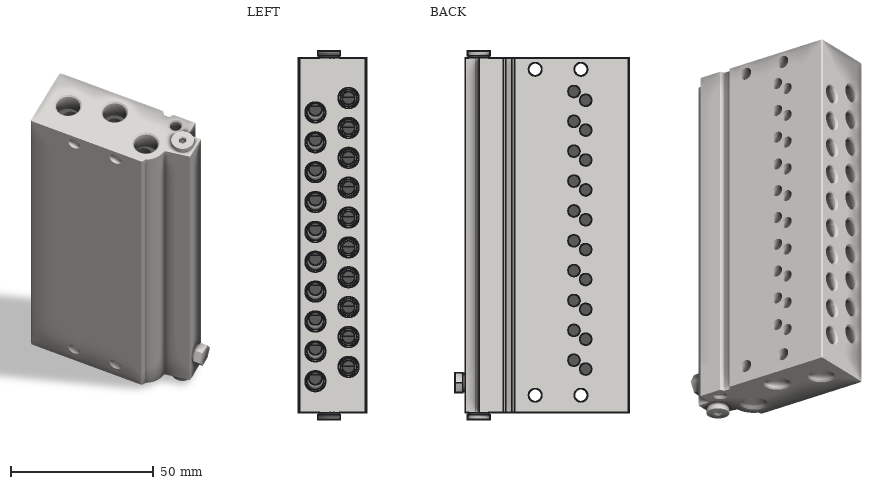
import cadquery as cq
import math

total_height = 129.5
plug_height = 2.5
block_height = total_height - 2 * plug_height
block_depth = 24.0
corner_chamfer = 0.4

front_width = 43.0
rear_width = 52.7
nose_width = 57.6
nose_front = 9.3
nose_rear = 18.1
nose_front_fillet = 0.4
nose_rear_fillet = 1.3
nose_root_fillet = 0.6
nose_root_y = 7.8
flank_radius = 7.4
flank_start_y = 1.4
lip_sagitta = 0.2
notch_left = 40.1
notch_right = 44.2
notch_depth = 1.5
notch_slope_left = 1.2
notch_slope_right = 0.8

port_diameter = 8.5
port_mouth_diameter = 9.6
port_depth = 7.1
gallery_diameter = 6.0
galleries = [
    ((9.0, 11.9), (9.8, 12.3)),
    ((25.0, 16.2), (25.0, 16.0)),
    ((40.9, 8.2), (39.9, 8.3)),
]
pilot_centre = (46.9, 20.0)
pilot_diameter = 4.0
pilot_mouth_diameter = 5.0

mount_diameter = 4.5
mount_x = [17.0, 33.0]
mount_inset_top = 4.0
mount_inset_bottom = 6.1

outlet_count = 10
outlet_pitch = 10.5
outlet_diameter = 6.0
outlet_mouth_diameter = 7.3
outlet_depth = 6.5
passage_diameter = 4.5
cross_diameter = 4.1
outlet_4_y = 6.3
outlet_4_top_inset = 14.1
outlet_2_y = 18.0
outlet_2_top_inset = 19.2
passage_2_rise = 1.0
cross_4_rise = 2.3
cross_2_rise = 4.3
cross_4_x = 19.4
cross_2_x = 15.3

plug_centre = (52.8, 13.2)
plug_diameter = 8.0
plug_neck_diameter = 7.3
plug_neck_height = 0.8
socket_across_flats = 2.5
socket_mouth_diameter = 3.2
socket_depth = 1.5

screw_y = 13.9
screw_z = 10.5
screw_end_x = 61.3
screw_head_length = 2.7
screw_across_flats = 7.0
screw_collar_diameter = 6.5


def across_corners(across_flats):
    return across_flats / math.cos(math.pi / 6)


def flank_point(y):
    """Point at depth y on the front right quarter of the rounded flank."""
    centre_x, centre_y = galleries[2][0]
    return (centre_x + math.sqrt(flank_radius**2 - (y - centre_y) ** 2), y)


def upright_edge(body, corner):
    """The edge of the block that runs along Z through a corner of its profile."""
    middle = (*corner, block_height / 2)
    return body.edges("|Z").edges(cq.selectors.NearestToPointSelector(middle))


def make_block_body():
    flank_start = flank_point(flank_start_y)
    flank_middle = flank_point((flank_start_y + nose_root_y) / 2)
    nose_root = flank_point(nose_root_y)
    profile = (
        cq.Workplane("XY")
        .moveTo(0, 0)
        .lineTo(front_width, 0)
        .sagittaArc(flank_start, -lip_sagitta)
        .threePointArc(flank_middle, nose_root)
        .lineTo(nose_width, nose_front)
        .lineTo(nose_width, nose_rear)
        .lineTo(rear_width, nose_rear)
        .lineTo(rear_width, block_depth)
        .lineTo(notch_right, block_depth)
        .lineTo(notch_right - notch_slope_right, block_depth - notch_depth)
        .lineTo(notch_left + notch_slope_left, block_depth - notch_depth)
        .lineTo(notch_left, block_depth)
        .lineTo(0, block_depth)
        .close()
    )
    body = profile.extrude(block_height)
    body = body.edges("|Z and <X").chamfer(corner_chamfer)
    body = upright_edge(body, (nose_width, nose_front)).fillet(nose_front_fillet)
    body = upright_edge(body, (rear_width, nose_rear)).fillet(nose_rear_fillet)
    return upright_edge(body, nose_root).fillet(nose_root_fillet)


def round_hole(start, direction, diameter, depth):
    return cq.Solid.makeCylinder(diameter / 2, depth, cq.Vector(*start), cq.Vector(*direction))


def mouth_chamfer(start, direction, mouth_diameter, diameter):
    """45 degree cone that widens a hole at its mouth."""
    depth = (mouth_diameter - diameter) / 2
    return cq.Solid.makeCone(
        mouth_diameter / 2, diameter / 2, depth, cq.Vector(*start), cq.Vector(*direction)
    )


def gallery_cuts():
    up = (0, 0, 1)
    ends = [(0, up), (block_height, (0, 0, -1))]
    cuts = [round_hole((*pilot_centre, 0), up, pilot_diameter, block_height)]
    for z, inward in ends:
        cuts.append(mouth_chamfer((*pilot_centre, z), inward, pilot_mouth_diameter, pilot_diameter))
    for port_centre, gallery_centre in galleries:
        cuts.append(round_hole((*gallery_centre, 0), up, gallery_diameter, block_height))
        for z, inward in ends:
            mouth = (*port_centre, z)
            cuts.append(round_hole(mouth, inward, port_diameter, port_depth))
            cuts.append(mouth_chamfer(mouth, inward, port_mouth_diameter, port_diameter))
    return cuts


def mounting_cuts():
    heights = [mount_inset_bottom, block_height - mount_inset_top]
    return [
        round_hole((x, 0, z), (0, 1, 0), mount_diameter, block_depth)
        for x in mount_x
        for z in heights
    ]


def outlet_row_cuts(y, top_inset, passage_rise, cross_x, cross_rise):
    """One row of outlets: port, inner passage, and a cross hole from the rear face."""
    inward = (1, 0, 0)
    cross_depth = block_depth - y + passage_diameter / 2
    cuts = []
    for i in range(outlet_count):
        z = block_height - top_inset - i * outlet_pitch
        cuts.append(round_hole((0, y, z), inward, outlet_diameter, outlet_depth))
        cuts.append(mouth_chamfer((0, y, z), inward, outlet_mouth_diameter, outlet_diameter))
        cuts.append(round_hole((0, y, z + passage_rise), inward, passage_diameter, cross_x))
        cross_start = (cross_x, block_depth, z + cross_rise)
        cuts.append(round_hole(cross_start, (0, -1, 0), cross_diameter, cross_depth))
    return cuts


def make_block():
    cuts = gallery_cuts() + mounting_cuts()
    cuts += outlet_row_cuts(outlet_4_y, outlet_4_top_inset, 0, cross_4_x, cross_4_rise)
    cuts += outlet_row_cuts(outlet_2_y, outlet_2_top_inset, passage_2_rise, cross_2_x, cross_2_rise)
    return make_block_body().val().cut(*cuts)


def make_plug(z, outward):
    """Plug resting on an end of the block: a neck, a wider head and a hexagon socket."""
    plane = cq.Plane(origin=(*plug_centre, z), xDir=(1, 0, 0), normal=(0, 0, outward))
    neck = cq.Workplane(plane).circle(plug_neck_diameter / 2).extrude(plug_neck_height)
    head = (
        cq.Workplane(plane)
        .workplane(offset=plug_neck_height)
        .circle(plug_diameter / 2)
        .extrude(plug_height - plug_neck_height)
    )
    socket_corners = across_corners(socket_across_flats)
    top = cq.Workplane(plane).workplane(offset=plug_height)
    socket = top.polygon(6, socket_corners).extrude(-socket_depth)
    mouth = mouth_chamfer(
        (*plug_centre, z + outward * plug_height),
        (0, 0, -outward),
        socket_mouth_diameter,
        socket_corners,
    )
    return neck.union(head).cut(socket).val().cut(mouth)


def make_screw():
    """Bleed screw resting on the nose: a round collar under a hexagon head."""
    base = cq.Plane(origin=(nose_width, screw_y, screw_z), xDir=(0, 1, 0), normal=(1, 0, 0))
    collar_length = screw_end_x - screw_head_length - nose_width
    collar = cq.Workplane(base).circle(screw_collar_diameter / 2).extrude(collar_length)
    head = (
        cq.Workplane(base)
        .workplane(offset=collar_length)
        .polygon(6, across_corners(screw_across_flats))
        .extrude(screw_head_length)
    )
    return collar.union(head).val()


block = make_block()
plugs = [make_plug(z, outward) for z, outward in [(0, -1), (block_height, 1)]]
screw = make_screw()

result = cq.Compound.makeCompound([block, *plugs, screw])